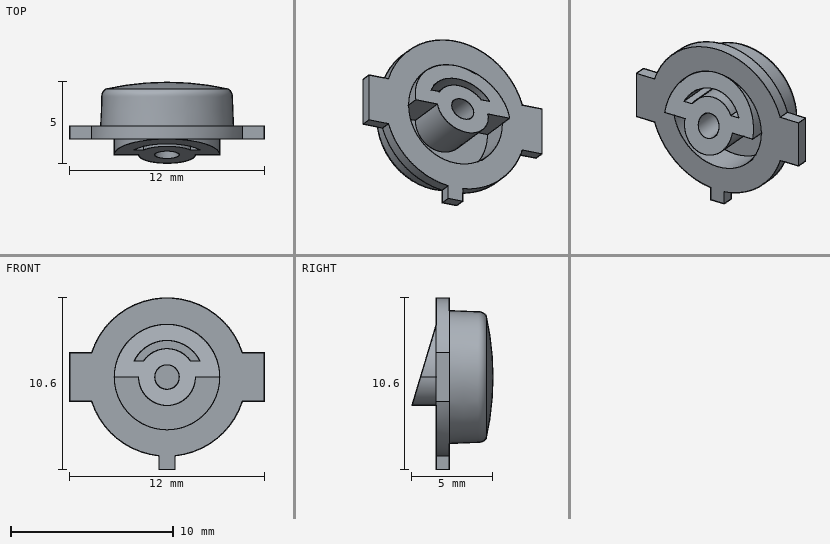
import cadquery as cq

flange_radius = 4.88
flange_thickness = 0.8
side_tab_span = 12
side_tab_height = 3
bottom_tab_reach = 5.7
bottom_tab_width = 1.01

cap_base_radius = 4.1
cap_shoulder_radius = 4.03
cap_shoulder_height = 1.81
cap_corner_radius = 3.78
cap_corner_height = 2.28
cap_height = 2.7
rim_bulge_radius = 3.94
rim_bulge_height = 2.12

boss_radius = 3.25
hub_radius = 1.75
ramp_tip_height = 1.5
bore_radius = 0.75
slot_outer_radius = 2.25
slot_bottom = 1.0
recess_depth = 2.0


def cylinder(radius, start, end):
    """Cylinder on the Y axis from Y = start to Y = end."""
    disc = cq.Workplane("XZ", origin=(0, start, 0)).circle(radius)
    return disc.extrude(start - end)


def block(x_size, y_start, y_end, z_low, z_high):
    """Box centred on X = 0."""
    solid = cq.Workplane("XY").box(x_size, y_end - y_start, z_high - z_low, centered=(True, False, False))
    return solid.translate((0, y_start, z_low))


def make_flange():
    disc = cylinder(flange_radius, 0, flange_thickness)
    side_tabs = block(side_tab_span, 0, flange_thickness, -side_tab_height / 2, side_tab_height / 2)
    bottom_tab = block(bottom_tab_width, 0, flange_thickness, -bottom_tab_reach, 0)
    return disc.union(side_tabs).union(bottom_tab)


def make_cap():
    """Slightly tapered cap with a rounded rim and a shallow spherical dome."""
    rise = cap_height - cap_corner_height
    dome_radius = (cap_corner_radius**2 + rise**2) / (2 * rise)
    mid_radius = cap_corner_radius / 2
    mid_drop = dome_radius - (dome_radius**2 - mid_radius**2) ** 0.5
    profile = (
        cq.Workplane("XY", origin=(0, flange_thickness, 0))
        .lineTo(cap_base_radius, 0)
        .lineTo(cap_shoulder_radius, cap_shoulder_height)
        .threePointArc((rim_bulge_radius, rim_bulge_height), (cap_corner_radius, cap_corner_height))
        .threePointArc((mid_radius, cap_height - mid_drop), (0, cap_height))
        .close()
    )
    return profile.revolve(360, (0, 0, 0), (0, 1, 0))


def make_ramp():
    """Half boss joined to a round hub, cut by a plane sloping up from the boss top to the hub bottom."""
    upper_half = block(2 * boss_radius, -ramp_tip_height, recess_depth, 0, boss_radius)
    half_boss = cylinder(boss_radius, -ramp_tip_height, recess_depth).intersect(upper_half)
    hub = cylinder(hub_radius, -ramp_tip_height, recess_depth)
    wedge = (
        cq.Workplane("YZ")
        .polyline([
            (0, boss_radius),
            (-ramp_tip_height, -hub_radius),
            (recess_depth, -hub_radius),
            (recess_depth, boss_radius),
        ])
        .close()
        .extrude(boss_radius, both=True)
    )
    return half_boss.union(hub).intersect(wedge)


def make_slot():
    """Arched slot over the hub, with a flat lower edge."""
    ring = cylinder(slot_outer_radius, -ramp_tip_height, recess_depth)
    ring = ring.cut(cylinder(hub_radius, -ramp_tip_height, recess_depth))
    return ring.intersect(
        block(2 * slot_outer_radius, -ramp_tip_height, recess_depth, slot_bottom, slot_outer_radius)
    )


recess = cylinder(boss_radius, 0, recess_depth)
bore = cylinder(bore_radius, -ramp_tip_height, recess_depth)

result = make_flange().union(make_cap()).cut(recess).union(make_ramp()).cut(make_slot()).cut(bore)